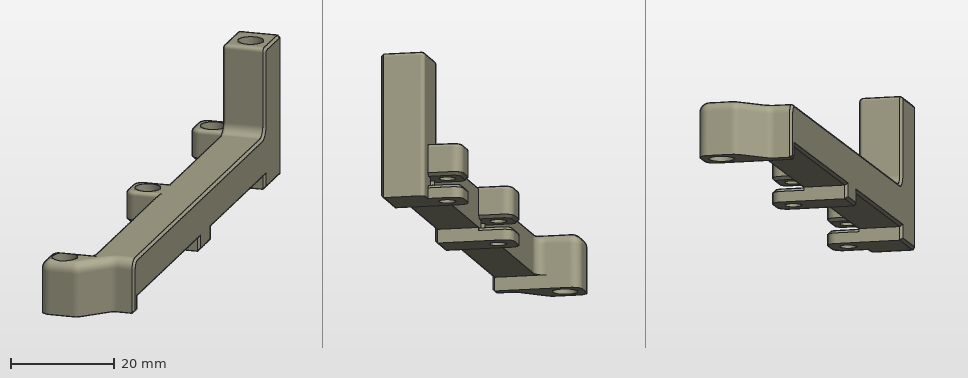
import cadquery as cq

length = 99.75
width = 17.5
height = 28.5
edge_radius = 0.8
side_chamfer = 0.5

beam_width = 8.7
beam_top = 10.8
beam_bottom = 2.7
beam_left = width - beam_width
beam_middle = width - beam_width / 2

column_depth = 10.1
column_front = length - column_depth
column_fillet = 2.0
column_hole_diameter = 5.0
column_hole_depth = 10.0
column_hole_y = length - 5.7

foot_size = 7.7
flank_start = 7.6
foot_radius = 2.0
foot_hole_diameter = 5.0
beam_end = 5.6
flank_end = flank_start + beam_end

tab_width = 7.3
tab_left = 2.1
tab_corner_radius = 2.0
tab_pitch = 42.0
tab_count = 2
tab_centers = [column_front + tab_width / 2 - i * tab_pitch for i in range(tab_count)]
tab_hole_x = tab_left + tab_width / 2
tab_hole_diameter = 3.3
counterbore_diameter = 5.0
counterbore_depth = 4.0

slot_bottom = beam_bottom
slot_top = 4.5
slot_chamfer = 0.6
notch_diameter = tab_hole_diameter


def block(x0, x1, y0, y1, z0, z1):
    """Box between two opposite corners."""
    return cq.Workplane("XY", origin=(x0, y0, z0)).box(x1 - x0, y1 - y0, z1 - z0, centered=False)


def cylinder(x, y, z0, z1, diameter):
    """Upright cylinder from z0 to z1."""
    return cq.Workplane("XY", origin=(x, y, z0)).circle(diameter / 2).extrude(z1 - z0)


def edge_near(body, x, y, z):
    """Edge of the body closest to a point."""
    return body.edges(cq.NearestToPointSelector((x, y, z)))


def make_foot():
    """Foot and end of the beam, with rounded upright corners."""
    foot = (
        cq.Workplane("XY")
        .moveTo(0, 0)
        .lineTo(flank_start, 0)
        .lineTo(flank_end, beam_end)
        .lineTo(width, beam_end)
        .lineTo(width, foot_size)
        .lineTo(0, foot_size)
        .close()
        .extrude(beam_top)
    )
    for x, y in [(0, 0), (flank_start, 0), (flank_end, beam_end), (0, foot_size)]:
        foot = edge_near(foot, x, y, beam_top / 2).fillet(foot_radius)
    return foot


def make_frame():
    """Foot, beam, tab pads and column in one piece, with all their rounded edges."""
    frame = make_foot()
    frame = frame.union(block(beam_left, width, foot_size, length, beam_bottom, beam_top))
    frame = frame.union(block(beam_left, width, column_front, length, 0, height))
    for y in tab_centers:
        frame = frame.union(block(beam_left, width, y - tab_width / 2, y + tab_width / 2, 0, beam_bottom))

    frame = edge_near(frame, foot_size / 2, 0, beam_top).fillet(foot_radius)
    frame = edge_near(frame, beam_middle, column_front, beam_top).fillet(column_fillet)

    frame = edge_near(frame, beam_left, length / 2, beam_top).fillet(edge_radius)
    frame = edge_near(frame, beam_left, length, height / 2).fillet(edge_radius)

    frame = edge_near(frame, beam_left, foot_size, beam_top / 2).fillet(foot_radius)

    frame = frame.faces(">Z").edges("not >X").fillet(edge_radius)
    return frame.faces(">X").edges().chamfer(side_chamfer)


def make_tab_plate(y, z0, z1):
    """Tab plate with round corners, reaching into the beam as far as its rounded edge."""
    tab_root = beam_left + edge_radius
    plate = block(tab_left, tab_root, y - tab_width / 2, y + tab_width / 2, z0, z1)
    return plate.edges("|Z and <X").fillet(tab_corner_radius)


def make_tab(y):
    """Upper and lower plate with the slot between them."""
    upper = make_tab_plate(y, slot_top, beam_top)
    upper = upper.faces(">Z").edges("not >X").fillet(edge_radius)
    upper = upper.faces("<Z").edges("not >X").chamfer(slot_chamfer)
    lower = make_tab_plate(y, 0, slot_bottom)
    lower = lower.faces(">Z").edges("not >X").chamfer(slot_chamfer)
    return upper, lower


def drill_tab(body, y):
    """Stepped screw hole through a tab and the notch in the beam behind its slot."""
    body = body.cut(cylinder(tab_hole_x, y, 0, beam_top, tab_hole_diameter))
    body = body.cut(cylinder(tab_hole_x, y, beam_top - counterbore_depth, beam_top, counterbore_diameter))
    return body.cut(cylinder(beam_left, y, slot_bottom, slot_top, notch_diameter))


result = make_frame()
for tab_y in tab_centers:
    for tab_plate in make_tab(tab_y):
        result = result.union(tab_plate)
    result = drill_tab(result, tab_y)

foot_middle = foot_size / 2
column_hole_floor = height - column_hole_depth
result = result.cut(cylinder(foot_middle, foot_middle, 0, beam_top, foot_hole_diameter))
result = result.cut(cylinder(beam_middle, column_hole_y, column_hole_floor, height, column_hole_diameter))